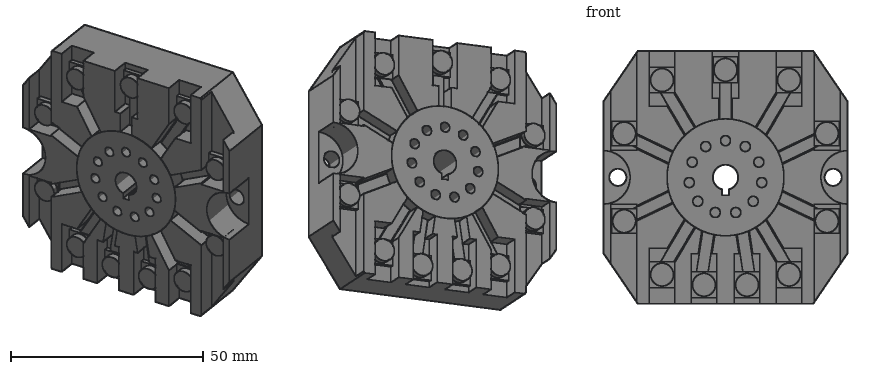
import cadquery as cq
import math


body_width = 63.5
body_height = 65.79
total_thickness = 15.98
hub_rise = 0.1
body_thickness = total_thickness - hub_rise
half_width = body_width / 2
half_height = body_height / 2
corner_x = 22.8
corner_z = 19.75

hub_radius = 15.2
pin_count = 11
pin_circle_radius = 9.525
pin_hole_diameter = 2.6
pin_hole_depth = 8.0
bore_diameter = 6.5
key_width = 1.75
key_reach = 4.65

mount_hole_x = 28.0
mount_hole_diameter = 4.4
mount_recess_radius = 6.95
mount_recess_depth = 9.5

slot_depth = 5.0
slot_width = 6.7
screw_diameter = 5.95
screw_top_depth = 1.9
plate_top_depth = 3.8
plate_height = 6.7

outer_terminal = (16.5, 25.3)
outer_slot_floor_z = 18.43
lower_terminal = (5.6, -27.95)
lower_slot_floor_z = -19.85
upper_terminal = (0.0, 27.95)
upper_slot_floor_z = 20.55
upper_slot_width = 6.9
upper_plate_width = 6.4

side_slot_inner_x = 23.1
side_slot_outer_x = 29.85
side_slot_floor_z = 7.0
side_plate_outer_x = 29.6
side_plate_bottom_z = 8.2
side_plate_height = 6.4
side_plate_top_depth = 3.57
side_plate_width = side_plate_outer_x - side_slot_inner_x
side_slot_width = side_slot_outer_x - side_slot_inner_x
side_terminal = (side_plate_outer_x - side_plate_width / 2, side_plate_bottom_z + side_plate_height / 2)

channel_width = 3.55
strip_width = 3.0
strip_top_depth = 4.1
outer_strip = ((8.97, 11.54), (15.85, 23.15))
side_strip = ((13.29, 4.67), (25.0, 10.28))
lower_strip = ((4.33, -13.5), (6.15, -25.36))
upper_strip = ((0.0, 14.0), (0.0, 26.0))


def block(x_center, z_center, width, height, top_depth, bottom_depth):
    """Rectangular block between two depths."""
    thickness = bottom_depth - top_depth
    return cq.Workplane("XY").box(width, thickness, height).translate(
        (x_center, top_depth + thickness / 2, z_center)
    )


def cylinder(x_center, z_center, radius, top_depth, bottom_depth):
    """Cylinder along Y between two depths."""
    origin = cq.Vector(x_center, top_depth, z_center)
    solid = cq.Solid.makeCylinder(radius, bottom_depth - top_depth, origin, cq.Vector(0, 1, 0))
    return cq.Workplane(obj=solid)


def bar(ends, width, top_depth):
    """Straight bar between two (X, Z) points, down to the slot depth."""
    (x_start, z_start), (x_end, z_end) = ends
    run_x = x_end - x_start
    run_z = z_end - z_start
    length = math.hypot(run_x, run_z)
    slope_angle = math.degrees(math.atan2(run_z, run_x))
    straight = block(0, 0, length, width, top_depth, slot_depth)
    turned = straight.rotate((0, 0, 0), (0, 1, 0), -slope_angle)
    return turned.translate(((x_start + x_end) / 2, 0, (z_start + z_end) / 2))


def open_slot(x_center, floor_z, width):
    """Slot from its floor out through the top or bottom edge of the body."""
    edge_z = math.copysign(half_height, floor_z)
    return block(x_center, (floor_z + edge_z) / 2, width, abs(edge_z - floor_z), 0, slot_depth)


def terminal(center, width, height, plate_depth):
    """Terminal plate on the slot bottom with a screw head on it."""
    plate = block(*center, width, height, plate_depth, slot_depth)
    return plate.union(cylinder(*center, screw_diameter / 2, screw_top_depth, slot_depth))


def mirrored_pair(shape):
    """A shape together with its mirror image across the YZ plane."""
    return shape.union(shape.mirror("YZ"))


def four_corners(shape):
    """A shape repeated in all four quadrants of the working face."""
    pair = mirrored_pair(shape)
    return pair.union(pair.mirror("XY"))


def make_body():
    """Block with four chamfered corners."""
    outline = [
        (corner_x, half_height),
        (half_width, corner_z),
        (half_width, -corner_z),
        (corner_x, -half_height),
        (-corner_x, -half_height),
        (-half_width, -corner_z),
        (-half_width, corner_z),
        (-corner_x, half_height),
    ]
    return cq.Workplane("XZ").polyline(outline).close().extrude(-body_thickness)


def make_pockets():
    """Terminal slots and the channels leading to them."""
    outer = open_slot(outer_terminal[0], outer_slot_floor_z, slot_width).union(
        bar(outer_strip, channel_width, 0)
    )
    side = open_slot(side_slot_inner_x + side_slot_width / 2, side_slot_floor_z, side_slot_width).union(
        bar(side_strip, channel_width, 0)
    )
    lower = open_slot(lower_terminal[0], lower_slot_floor_z, slot_width).union(
        bar(lower_strip, channel_width, 0)
    )
    upper = open_slot(upper_terminal[0], upper_slot_floor_z, upper_slot_width).union(
        bar(upper_strip, channel_width, 0)
    )
    return four_corners(outer.union(side)).union(mirrored_pair(lower)).union(upper)


def make_conductors():
    """Terminal plates, screws and strips."""
    outer = terminal(outer_terminal, slot_width, plate_height, plate_top_depth).union(
        bar(outer_strip, strip_width, strip_top_depth)
    )
    side = terminal(side_terminal, side_plate_width, side_plate_height, side_plate_top_depth).union(
        bar(side_strip, strip_width, strip_top_depth)
    )
    lower = terminal(lower_terminal, slot_width, plate_height, plate_top_depth).union(
        bar(lower_strip, strip_width, strip_top_depth)
    )
    upper = terminal(upper_terminal, upper_plate_width, plate_height, plate_top_depth).union(
        bar(upper_strip, strip_width, strip_top_depth)
    )
    return four_corners(outer.union(side)).union(mirrored_pair(lower)).union(upper)


def make_mounting_cut():
    """Round side recess and its through hole, on both sides."""
    recess = cylinder(half_width, 0, mount_recess_radius, 0, mount_recess_depth)
    hole = cylinder(mount_hole_x, 0, mount_hole_diameter / 2, 0, body_thickness)
    return mirrored_pair(recess.union(hole))


def make_bore():
    """Central through bore with a keyway on its lower side."""
    bore = cylinder(0, 0, bore_diameter / 2, -hub_rise, body_thickness)
    keyway = block(0, -key_reach / 2, key_width, key_reach, -hub_rise, body_thickness)
    return bore.union(keyway)


def make_pin_holes():
    """Ring of equally spaced blind pin holes, the first one straight up."""
    holes = cq.Workplane("XY")
    for index in range(pin_count):
        angle = 2 * math.pi * index / pin_count
        x = pin_circle_radius * math.sin(angle)
        z = pin_circle_radius * math.cos(angle)
        holes = holes.add(cylinder(x, z, pin_hole_diameter / 2, -hub_rise, pin_hole_depth))
    return holes.combine()


hub = cylinder(0, 0, hub_radius, -hub_rise, slot_depth)
result = make_body().cut(make_pockets()).union(make_conductors()).union(hub)
result = result.cut(make_mounting_cut()).cut(make_bore()).cut(make_pin_holes())